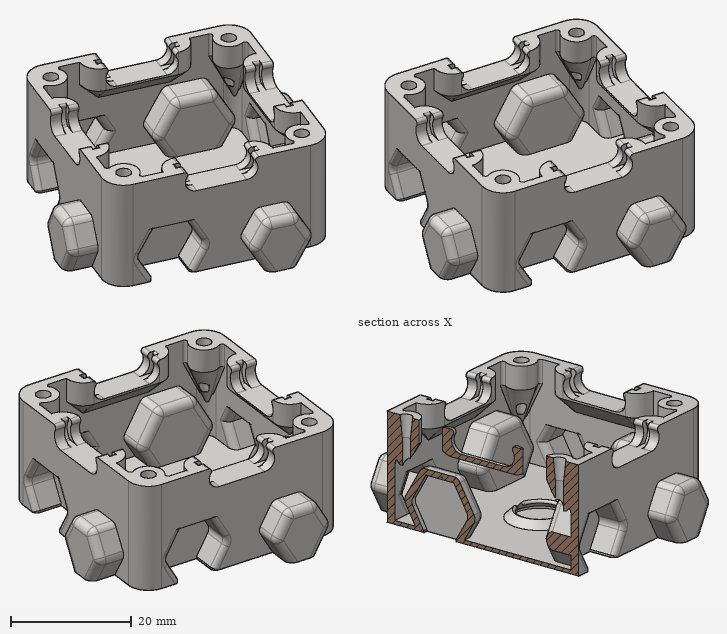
import cadquery as cq
import math

SIZE = 40.0
HALF = SIZE / 2
HEIGHT = 20.0
CORNER_RADIUS = 4.0
WALL = 1.65
FLOOR = 0.8
INNER_HALF = HALF - WALL

HEX_X = 9.0
HEX_Z = 5.0
HEX_ROUND = 1.5
PLUG_APOTHEM = 5.0
PLUG_LENGTH = 5.0
HOLLOW_APOTHEM = 3.5
HOLLOW_TOP = 8.5
HOLLOW_END_WALL = 1.5
HOLLOW_MOUTH_ROUND = 1.4
SOCKET_APOTHEM = PLUG_APOTHEM + 0.2
SOCKET_TOP = HEX_Z + PLUG_APOTHEM + 0.4
SOCKET_DEPTH = PLUG_LENGTH + 0.2
HOUSING_APOTHEM = SOCKET_APOTHEM + 1.4
HOUSING_DEPTH = 7.0
SOCKET_MOUTH_ROUND = 1.0
OPENING_FOOT_HEIGHT = 0.4

NOTCH_RADIUS = 2.0
NOTCH_CENTRE_X = 4.5
NOTCH_FLOOR = HEIGHT - 2 * NOTCH_RADIUS
NOTCH_CENTRE_Z = NOTCH_FLOOR + NOTCH_RADIUS
NOTCH_LIP_RADIUS = 0.6
GROOVE_RADIUS = 3.0
GROOVE_EDGE_RADIUS = 0.4
GROOVE_WIDTH = 1.2
GROOVE_SETBACK = 2.0

RIM_DEPTH = 5.0
RIM_ROUND = RIM_DEPTH - WALL
RIM_HALF_LENGTH = 6.5 + RIM_ROUND
RIM_UNDERSIDE = NOTCH_FLOOR - 0.4

POST_CENTRE = HALF - CORNER_RADIUS
POST_RADIUS = 2.75
POST_FILLET = 0.5
POST_UNDERSIDE = 15.7
POST_TIP = 18.0
POST_TIP_Z = 6.8
POST_TIP_SCALE = 0.1
SCREW_TOP_DIAMETER = 2.6
SCREW_DIAMETER = 1.75
SCREW_TAPER_DEPTH = 4.0
SCREW_DEPTH = 10.0

RING_BASE_RADIUS = 6.0
RING_TOP_RADIUS = 4.55
RING_LIP_RADIUS = 4.05
SEAT_RADIUS = 5.0
SEAT_FLOOR = 0.4
RING_TOP = 2.2
RING_LIP_DROP = 0.5
RING_GAP_ANGLE = 21.0
RING_END_ROUND = 0.3

OVERSIZE = 2 * SIZE


def block(x_min, x_max, y_min, y_max, z_min, z_max):
    size = (x_max - x_min, y_max - y_min, z_max - z_min)
    return cq.Workplane("XY").box(*size, centered=False).translate((x_min, y_min, z_min))


def turned(solid, angle):
    return solid.rotate((0, 0, 0), (0, 0, 1), angle)


def on_four_sides(solid):
    """Copies of a solid made for the -Y side, one for each side."""
    return [turned(solid, 90 * turn) for turn in range(4)]


def front_plane(y):
    """XZ plane at the given y; negative extrusions grow towards +Y."""
    return cq.Workplane(cq.Plane(origin=(0, y, 0), xDir=(1, 0, 0), normal=(0, -1, 0)))


def hexagon_prism(x, apothem, y_start, length, rounded_above=-HALF):
    """Flat-topped hexagonal prism growing towards +Y, its side edges rounded above the given height."""
    diameter = 2 * apothem / math.cos(math.pi / 6)
    prism = front_plane(y_start).center(x, HEX_Z).polygon(6, diameter).extrude(-length)
    upper_edges = cq.selectors.BoxSelector(
        (-OVERSIZE, -OVERSIZE, rounded_above), (OVERSIZE, OVERSIZE, OVERSIZE)
    )
    return prism.edges("|Y").edges(upper_edges).fillet(HEX_ROUND)


def hexagon_opening(x, apothem, depth, top, vertex_round, mouth_round):
    """Cavity going towards +Y from y = 0, between z = 0 and the given top.

    Its sides are the four slanted sides of a hexagon, upright below the foot height.
    A vertex round of zero leaves the side vertices sharp.
    """
    half_width = 2 * apothem / math.sqrt(3)
    apex_z = HEX_Z + half_width * math.sqrt(3)
    foot_half_width = half_width - (HEX_Z - OPENING_FOOT_HEIGHT) / math.sqrt(3)
    margin = half_width + 2 * mouth_round
    blank = block(x - margin, x + margin, 0, depth, 0, top)
    sides = (
        front_plane(0)
        .moveTo(x - half_width, HEX_Z)
        .lineTo(x, apex_z)
        .lineTo(x + half_width, HEX_Z)
        .lineTo(x + foot_half_width, OPENING_FOOT_HEIGHT)
        .lineTo(x + foot_half_width, 0)
        .lineTo(x - foot_half_width, 0)
        .lineTo(x - foot_half_width, OPENING_FOOT_HEIGHT)
        .close()
        .extrude(-depth)
    )
    if vertex_round > 0:
        sides = sides.edges("|Y and (<X or >X)").fillet(vertex_round)
    jambs = blank.cut(sides)
    reach = 0.99 * margin
    mouth = cq.selectors.BoxSelector((x - reach, -0.1, 0.01), (x + reach, 0.1, top - 0.01))
    jambs = jambs.edges(mouth).fillet(mouth_round)
    return blank.cut(jambs)


def plug():
    """Solid plug on the -Y side; its underside is flush with the box."""
    body = hexagon_prism(HEX_X, PLUG_APOTHEM, -HALF - PLUG_LENGTH, PLUG_LENGTH + WALL, HEX_Z / 2)
    return body.faces("<Y").edges("not <Z").fillet(HEX_ROUND)


def plug_hollow():
    """Cavity of the plug, open to the inside of the box and level with its floor."""
    depth = WALL + PLUG_LENGTH - HOLLOW_END_WALL
    opening = hexagon_opening(-HEX_X, HOLLOW_APOTHEM, depth, HOLLOW_TOP, 0, HOLLOW_MOUTH_ROUND)
    opening = turned(opening, 180).translate((0, -INNER_HALF, 0))
    return opening.intersect(block(-HALF, HALF, -OVERSIZE, 0, FLOOR, HEIGHT))


def socket_housing():
    """Hexagonal wall around the socket, reaching into the box."""
    length = HOUSING_DEPTH - WALL / 2
    body = hexagon_prism(-HEX_X, HOUSING_APOTHEM, -HALF + WALL / 2, length)
    rounded = body.faces(">Y").edges().fillet(HEX_ROUND)
    return rounded.intersect(block(-HALF, HALF, -HALF, 0, 0, HEIGHT))


def socket():
    opening = hexagon_opening(
        -HEX_X, SOCKET_APOTHEM, SOCKET_DEPTH, SOCKET_TOP, HEX_ROUND, SOCKET_MOUTH_ROUND
    )
    return opening.translate((0, -HALF, 0))


def rim():
    """Thick rim around the notch, carried by a 45 degree underside."""
    outline_y = -INNER_HALF
    straight = RIM_HALF_LENGTH - RIM_ROUND
    height = HEIGHT - RIM_UNDERSIDE
    slab = block(-straight, straight, -HALF + WALL / 2, -HALF + RIM_DEPTH, RIM_UNDERSIDE, HEIGHT)
    wedge = (
        cq.Workplane("YZ", origin=(-straight, 0, 0))
        .moveTo(outline_y, RIM_UNDERSIDE)
        .lineTo(outline_y + RIM_ROUND, RIM_UNDERSIDE)
        .lineTo(outline_y, RIM_UNDERSIDE - RIM_ROUND)
        .close()
        .extrude(2 * straight)
    )
    solid = slab.union(wedge)
    for x in (-straight, straight):
        end = cq.Workplane("XY", origin=(x, outline_y, RIM_UNDERSIDE)).circle(RIM_ROUND).extrude(height)
        tip = cq.Solid.makeCone(
            RIM_ROUND, 0, RIM_ROUND, pnt=cq.Vector(x, outline_y, RIM_UNDERSIDE), dir=cq.Vector(0, 0, -1)
        )
        solid = solid.union(end).union(cq.Workplane(tip))
    return solid.intersect(block(-HALF, HALF, -HALF, 0, 0, HEIGHT))


def polar(centre, radius, angle):
    return (centre[0] + radius * math.cos(angle), centre[1] + radius * math.sin(angle))


def notch_arcs(radius, lip_radius, floor_radius):
    """Arcs (centre, radius, start, end) of the right notch end, from the top face down to the floor."""
    lip_rise = NOTCH_RADIUS - lip_radius
    lip_x = math.sqrt((radius + lip_radius) ** 2 - lip_rise**2)
    lip_angle = math.atan2(lip_rise, lip_x)
    floor_drop = NOTCH_RADIUS - floor_radius
    floor_x = math.sqrt((radius - floor_radius) ** 2 - floor_drop**2)
    floor_angle = math.atan2(-floor_drop, floor_x)
    x, z = NOTCH_CENTRE_X, NOTCH_CENTRE_Z
    arcs = [
        ((x + lip_x, z + lip_rise), lip_radius, math.pi / 2, math.pi + lip_angle),
        ((x, z), radius, lip_angle, floor_angle),
    ]
    if floor_radius > 0:
        arcs.append(((x + floor_x, z - floor_drop), floor_radius, floor_angle, -math.pi / 2))
    return arcs


def notch_cutter(radius, lip_radius, floor_radius, y_start, length):
    """Notch-shaped cutter through the rim, growing towards +Y."""
    arcs = notch_arcs(radius, lip_radius, floor_radius)
    centre, arc_radius, start, _ = arcs[0]
    outline = front_plane(y_start).moveTo(0, HEIGHT).lineTo(*polar(centre, arc_radius, start))
    for centre, arc_radius, start, end in arcs:
        middle = polar(centre, arc_radius, (start + end) / 2)
        outline = outline.threePointArc(middle, polar(centre, arc_radius, end))
    half = outline.lineTo(0, NOTCH_FLOOR).close().extrude(-length)
    return half.union(half.mirror("YZ"))


def notch():
    opening = notch_cutter(NOTCH_RADIUS, NOTCH_LIP_RADIUS, 0, -HALF, RIM_DEPTH)
    groove_y = -HALF + GROOVE_SETBACK
    groove = notch_cutter(GROOVE_RADIUS, GROOVE_EDGE_RADIUS, GROOVE_EDGE_RADIUS, groove_y, GROOVE_WIDTH)
    return opening.union(groove)


def post_wire(x, y, z, scale=1.0):
    """Outline of the (-X, -Y) corner post about its axis: a round nose blended into both walls."""
    to_wall = INNER_HALF - POST_CENTRE
    blend_rise = to_wall - POST_FILLET
    blend_reach = math.sqrt((POST_RADIUS + POST_FILLET) ** 2 - blend_rise**2)
    blend_angle = math.atan2(blend_rise, blend_reach)
    touch = polar((0, 0), POST_RADIUS, -blend_angle)
    middle_angle = (math.pi - blend_angle + 3 * math.pi / 2) / 2
    middle = polar((blend_reach, -blend_rise), POST_FILLET, middle_angle)
    foot = (blend_reach, -to_wall)
    back = -POST_RADIUS
    nose = polar((0, 0), POST_RADIUS, math.pi / 4)

    def at(point):
        return cq.Vector(x + point[0] * scale, y + point[1] * scale, z)

    def mirrored(point):
        return at((point[1], point[0]))

    edges = [
        cq.Edge.makeLine(at((back, back)), at((blend_reach, back))),
        cq.Edge.makeLine(at((blend_reach, back)), at(foot)),
        cq.Edge.makeThreePointArc(at(foot), at(middle), at(touch)),
        cq.Edge.makeThreePointArc(at(touch), at(nose), mirrored(touch)),
        cq.Edge.makeThreePointArc(mirrored(touch), mirrored(middle), mirrored(foot)),
        cq.Edge.makeLine(mirrored(foot), mirrored((blend_reach, back))),
        cq.Edge.makeLine(mirrored((blend_reach, back)), at((back, back))),
    ]
    return cq.Wire.assembleEdges(edges)


def post():
    """Corner post whose underside runs obliquely down into the corner of the box."""
    underside = post_wire(-POST_CENTRE, -POST_CENTRE, POST_UNDERSIDE)
    shaft = cq.Solid.extrudeLinear(underside, [], cq.Vector(0, 0, HEIGHT - POST_UNDERSIDE))
    tip = post_wire(-POST_TIP, -POST_TIP, POST_TIP_Z, POST_TIP_SCALE)
    support = cq.Solid.makeLoft([underside, tip], True)
    return cq.Workplane(shaft).union(cq.Workplane(support))


def screw_hole():
    """Tapered pilot hole through the post."""
    cone = cq.Solid.makeCone(
        SCREW_DIAMETER / 2,
        SCREW_TOP_DIAMETER / 2,
        SCREW_TAPER_DEPTH,
        pnt=cq.Vector(-POST_CENTRE, -POST_CENTRE, HEIGHT - SCREW_TAPER_DEPTH),
    )
    pilot = cq.Workplane("XY", origin=(-POST_CENTRE, -POST_CENTRE, HEIGHT - SCREW_DEPTH))
    pilot = pilot.circle(SCREW_DIAMETER / 2).extrude(SCREW_DEPTH - SCREW_TAPER_DEPTH)
    return pilot.union(cq.Workplane(cone))


def snap_ring():
    """Conical ring with a rounded inner lip, in two halves with rounded ends.

    Both flanks run on below the floor surface so that the ring is rooted in the floor.
    """
    root = (FLOOR - SEAT_FLOOR) / 2
    lip_z = RING_TOP - RING_LIP_DROP
    outer_slope = (RING_BASE_RADIUS - RING_TOP_RADIUS) / (RING_TOP - FLOOR)
    inner_slope = (SEAT_RADIUS - RING_LIP_RADIUS) / (lip_z - FLOOR)
    profile = (
        cq.Workplane("XZ")
        .moveTo(SEAT_RADIUS + inner_slope * root, FLOOR - root)
        .lineTo(RING_BASE_RADIUS + outer_slope * root, FLOOR - root)
        .lineTo(RING_TOP_RADIUS, RING_TOP)
        .radiusArc((RING_LIP_RADIUS, lip_z), -RING_LIP_DROP)
        .close()
    )
    sweep = 180 - RING_GAP_ANGLE
    half = turned(profile.revolve(sweep, (0, 0, 0), (0, 1, 0)), -sweep / 2)
    above_floor = cq.selectors.BoxSelector((-HALF, -HALF, FLOOR + 0.01), (HALF, HALF, HEIGHT))
    half = half.faces("%PLANE and (not |Z)").edges(above_floor).fillet(RING_END_ROUND)
    return half.union(turned(half, 180))


def shell():
    outside = block(-HALF, HALF, -HALF, HALF, 0, HEIGHT).edges("|Z").fillet(CORNER_RADIUS)
    inside = block(-INNER_HALF, INNER_HALF, -INNER_HALF, INNER_HALF, FLOOR, HEIGHT)
    return outside.cut(inside.edges("|Z").fillet(CORNER_RADIUS - WALL))


def magnet_seat():
    seat = cq.Workplane("XY", origin=(0, 0, SEAT_FLOOR))
    return seat.circle(SEAT_RADIUS).extrude(FLOOR - SEAT_FLOOR)


def box():
    body = shell()
    for feature in (rim(), post(), socket_housing(), plug()):
        for copy in on_four_sides(feature):
            body = body.union(copy)
    for feature in (notch(), screw_hole(), socket(), plug_hollow()):
        for copy in on_four_sides(feature):
            body = body.cut(copy)
    return body


result = box().cut(magnet_seat()).union(snap_ring())